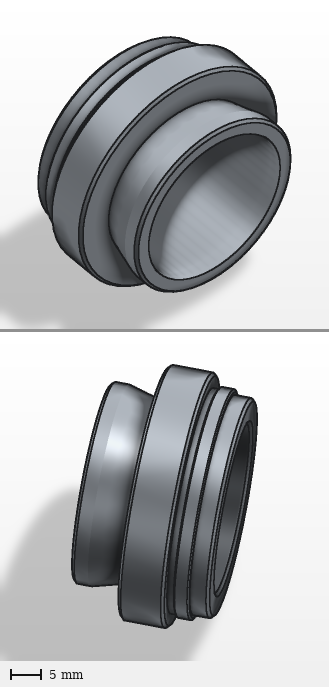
import cadquery as cq

total_length = 23.2
edge_chamfer = 0.5

spigot_radius = 36.35 / 2
spigot_end = 3.2

ring_radius = 38.1 / 2
ring_end = 5.78
ring_bevel_length = 0.25

relief_radius = 37.23 / 2

flange_radius = 42.15 / 2
flange_start = 6.87
flange_width = 7.65
flange_end = flange_start + flange_width

neck_radius = 15.1
collar_radius = 33.3 / 2
collar_width = 2.8
collar_start = total_length - collar_width

bore_radius = 27.95 / 2


def make_revolved_body():
    """Revolve the outer half profile (x, radius) about the X axis."""
    profile = [
        (0, 0),
        (0, spigot_radius - edge_chamfer),
        (edge_chamfer, spigot_radius),
        (spigot_end, spigot_radius),
        (spigot_end, relief_radius),
        (spigot_end + ring_bevel_length, ring_radius),
        (ring_end - ring_bevel_length, ring_radius),
        (ring_end, relief_radius),
        (flange_start, relief_radius),
        (flange_start, flange_radius - edge_chamfer),
        (flange_start + edge_chamfer, flange_radius),
        (flange_end - edge_chamfer, flange_radius),
        (flange_end, flange_radius - edge_chamfer),
        (flange_end, neck_radius),
        (collar_start, collar_radius),
        (total_length - edge_chamfer, collar_radius),
        (total_length, collar_radius - edge_chamfer),
        (total_length, 0),
    ]
    return cq.Workplane("XY").polyline(profile).close().revolve(360, (0, 0, 0), (1, 0, 0))


def cut_bore(body):
    """Cut the through bore and chamfer its left mouth."""
    bored = body.cut(cq.Workplane("YZ").circle(bore_radius).extrude(total_length))
    bore_mouth = bored.faces("<X").edges(cq.selectors.RadiusNthSelector(0))
    return bore_mouth.chamfer(edge_chamfer)


result = cut_bore(make_revolved_body())